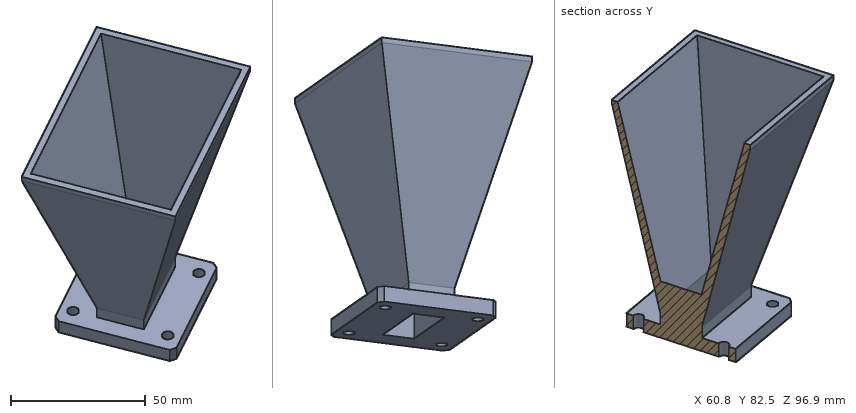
import cadquery as cq

flange_side = 47.9
flange_thickness = 6.0
flange_corner_chamfer = 2.0
hole_diameter = 4.3
hole_spacing_x = 37.4
hole_spacing_y = 34.3

guide_x = 12.6
guide_y = 28.5
neck_wall = 3.0
neck_height = 5.0
guide_extension = 4.0
neck_x = guide_x + 2 * neck_wall
neck_y = guide_y + 2 * neck_wall

overall_height = 96.9
mouth_x = 60.76
mouth_y = 82.47
mouth_wall = 2.7
rim_height = 2.0
mouth_opening_x = mouth_x - 2 * mouth_wall
mouth_opening_y = mouth_y - 2 * mouth_wall

horn_base_z = flange_thickness + neck_height
taper_base_z = horn_base_z + guide_extension
rim_base_z = overall_height - rim_height


def block(size_x, size_y, bottom_z, top_z):
    """Straight rectangular block centred on the Z axis."""
    height = top_z - bottom_z
    return cq.Workplane("XY").workplane(offset=bottom_z).rect(size_x, size_y).extrude(height)


def frustum(bottom_x, bottom_y, top_x, top_y, bottom_z, top_z):
    """Rectangular pyramid frustum centred on the Z axis."""
    return (
        cq.Workplane("XY")
        .workplane(offset=bottom_z)
        .rect(bottom_x, bottom_y)
        .workplane(offset=top_z - bottom_z)
        .rect(top_x, top_y)
        .loft(ruled=True)
    )


def make_flange():
    """Square flange with chamfered corners and four through holes."""
    plate = block(flange_side, flange_side, 0, flange_thickness)
    plate = plate.edges("|Z").chamfer(flange_corner_chamfer)
    return (
        plate.faces(">Z")
        .workplane()
        .rect(hole_spacing_x, hole_spacing_y, forConstruction=True)
        .vertices()
        .hole(hole_diameter)
    )


def make_horn_body():
    """Solid outer shape of the neck, the flared horn and its rim."""
    neck = block(neck_x, neck_y, flange_thickness, horn_base_z)
    flare = frustum(neck_x, neck_y, mouth_x, mouth_y, horn_base_z, rim_base_z)
    rim = block(mouth_x, mouth_y, rim_base_z, overall_height)
    return neck.union(flare).union(rim)


def make_passage():
    """Straight guide running a little past the neck, then a taper out to the mouth."""
    guide = block(guide_x, guide_y, 0, taper_base_z)
    taper = frustum(
        guide_x, guide_y, mouth_opening_x, mouth_opening_y, taper_base_z, overall_height
    )
    return guide.union(taper)


result = make_flange().union(make_horn_body()).cut(make_passage())